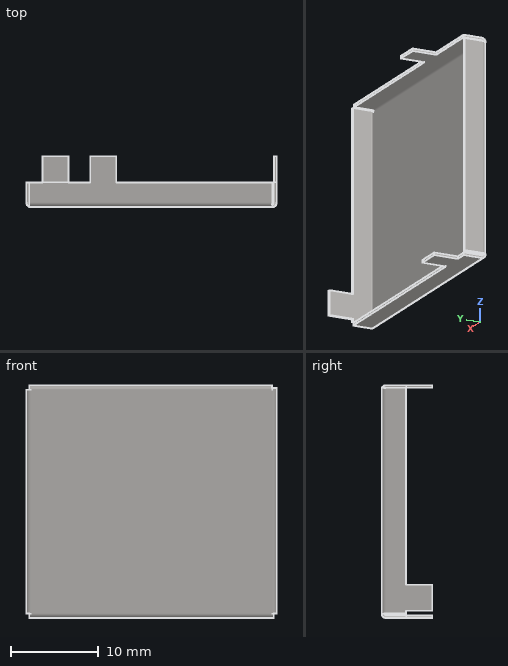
import cadquery as cq

width = 28.6
height = 26.6
total_depth = 5.8

thickness = 0.31
bend_radius = 0.51
tab_length = 3.0
tab_width = 3.0

inner_radius = bend_radius - thickness
wall_depth = total_depth - tab_length

bottom_tab_offset = 1.83
top_tab_offset = 18.3
right_tab_offset = 0.83


def folded_wall(span, reach, start_inset, end_inset, turn, tab_offset=None):
    """Bend and wall along X, lying `reach` below the Y axis, then turned about Y.

    `span` is the envelope length along the wall. The insets shorten its two
    ends, and `tab_offset` places an optional tab on its rear edge.
    """
    start = -span / 2 + start_inset
    length = span - start_inset - end_inset
    outer = -reach
    inner = outer + thickness
    bend_line = outer + bend_radius

    wall = (
        cq.Workplane("YZ", origin=(start, 0, 0))
        .moveTo(0, bend_line)
        .radiusArc((bend_radius, outer), -bend_radius)
        .lineTo(wall_depth, outer)
        .lineTo(wall_depth, inner)
        .lineTo(bend_radius, inner)
        .radiusArc((thickness, bend_line), inner_radius)
        .close()
        .extrude(length)
    )
    if tab_offset is not None:
        tab = cq.Workplane("XY").box(tab_width, tab_length, thickness, centered=False)
        wall = wall.union(tab.translate((-span / 2 + tab_offset, wall_depth, outer)))
    return wall.rotate((0, 0, 0), (0, 1, 0), turn)


panel = cq.Workplane("XY").box(
    width - 2 * bend_radius, thickness, height - 2 * bend_radius
).translate((0, thickness / 2, 0))

bottom_wall = folded_wall(width, height / 2, thickness, thickness, 0, bottom_tab_offset)
left_wall = folded_wall(height, width / 2, bend_radius, bend_radius, 90)
top_wall = folded_wall(width, height / 2, bend_radius, thickness, 180, top_tab_offset)
right_wall = folded_wall(height, width / 2, bend_radius, thickness, 270, right_tab_offset)

result = panel.union(bottom_wall).union(left_wall).union(top_wall).union(right_wall)